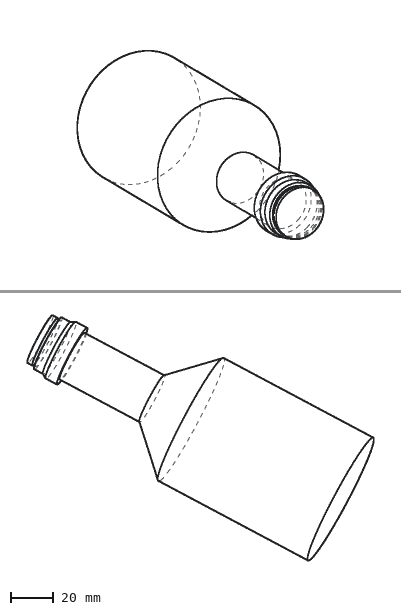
import cadquery as cq

total_length = 160.5
body_length = 80.0
cone_length = 20.9
neck_length = 42.5
collar_length = 6.1
collar_taper_length = 2.1
step_length = 4.8
groove_width = 1.5

body_diameter = 65.3
neck_diameter = 24.9
collar_diameter = 30.2
step_diameter = 27.6
groove_diameter = 24.5
tip_diameter = 25.4

cone_end = body_length + cone_length
collar_start = cone_end + neck_length
collar_end = collar_start + collar_length
step_start = collar_end + collar_taper_length
step_end = step_start + step_length
tip_start = step_end + groove_width

profile = (
    cq.Workplane("XY")
    .lineTo(0, body_diameter / 2)
    .lineTo(body_length, body_diameter / 2)
    .lineTo(cone_end, neck_diameter / 2)
    .lineTo(collar_start, neck_diameter / 2)
    .lineTo(collar_start, collar_diameter / 2)
    .lineTo(collar_end, collar_diameter / 2)
    .lineTo(step_start, step_diameter / 2)
    .lineTo(step_end, step_diameter / 2)
    .lineTo(step_end, groove_diameter / 2)
    .lineTo(tip_start, groove_diameter / 2)
    .lineTo(tip_start, tip_diameter / 2)
    .lineTo(total_length, tip_diameter / 2)
    .lineTo(total_length, 0)
    .close()
)

result = profile.revolve(360, (0, 0, 0), (1, 0, 0))